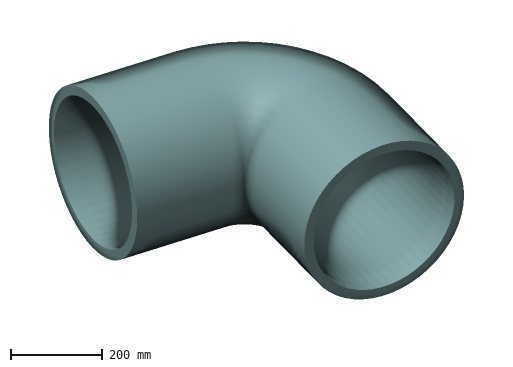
import cadquery as cq

outer_diameter = 400.0
inner_diameter = 352.6
overall_length = 669.0
bend_radius = 202.0

outer_radius = outer_diameter / 2
inner_radius = inner_diameter / 2
leg_length = overall_length - outer_radius - bend_radius


def elbow_solid(radius):
    """Round bar along the elbow: a leg towards -Y, a 90 degree bend, a leg towards +X.

    The bend starts at the origin and its axis is parallel to Z at X = bend_radius.
    """
    leg_y = cq.Workplane("XZ").circle(radius).extrude(leg_length)
    bend = (
        cq.Workplane("XZ")
        .circle(radius)
        .revolve(90, (bend_radius, 1, 0), (bend_radius, 0, 0))
    )
    leg_x = (
        cq.Workplane("YZ", origin=(bend_radius, bend_radius, 0))
        .circle(radius)
        .extrude(leg_length)
    )
    return leg_y.union(bend).union(leg_x)


outer_body = elbow_solid(outer_radius)
bore = elbow_solid(inner_radius)

result = outer_body.cut(bore)